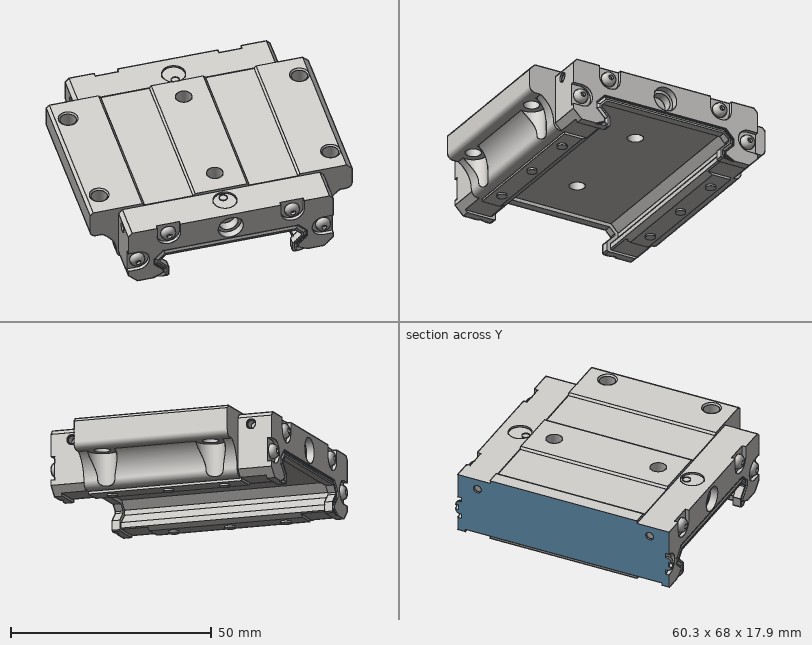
import cadquery as cq
import math


block_length = 41.0
block_end = block_length / 2
flange_width = 68.0
top_height = 17.35
flange_underside = 9.4
flange_round = 1.6
rear_top_chamfer = 1.5
front_top_chamfer = 0.8
wall_half_width = 27.1
wall_tangent_height = 2.6
underside_arc_radius = 8.0
wall_foot_radius = 1.95
strip_half_width = 24.0
foot_height = wall_tangent_height - wall_foot_radius

relief_depth = 0.55
center_pad_half_width = 6.75
relief_outer_edge = 20.45

mount_pitch_x = 29.0
mount_pitch_y = 60.0
mount_hole_diameter = 4.13
mount_countersink_diameter = 4.92
bolt_clearance_diameter = 7.4
bolt_clearance_bottom = 1.0

pin_diameter = 2.6
pin_pitch_x = 15.0
pin_offset_y = 21.45
pin_drop = 0.5

caps_length = 59.0
cap_width = 53.2
cap_top = 16.6
cap_chamfer_width = 1.0
cap_chamfer_height = 1.1
cap_foot_chamfer = 2.4
cap_body_bottom = foot_height
seal_plate_thickness = 2.1
cap_end = caps_length / 2
seal_plate_start = cap_end - seal_plate_thickness

rail_opening_top = 8.6
rail_opening_corners = [
    (17.5, rail_opening_top),
    (19.85, 6.15),
    (19.85, 4.45),
    (17.55, 2.1),
    (17.55, 1.2),
]
opening_foot_slope = 0.5
opening_depth_below = 3.0
groove_width = 0.3
groove_depth = 0.4
flare_width = 0.7
lip_reach = 1.5
clearance_inset = 0.5
groove_floor = cap_end - groove_depth

screw_pocket_diameter = 6.0
screw_pocket_depth = 1.0
screw_head_diameter = 3.8
screw_socket_diameter = 1.24
screw_socket_depth = 0.8
screw_straight_height = 0.5
overall_length = 60.3
upper_screw = (16.05, 13.75)
lower_screw = (24.1, 6.8)

grease_x = 24.0
end_port_height = 12.25
end_port_diameter = 6.5
end_port_depth = 2.0
end_port_inner_diameter = 4.92
end_port_inner_depth = 4.5
side_port_height = 13.75
side_port_diameter = 2.46
side_port_depth = 0.5
side_port_inner_diameter = 2.05
side_port_inner_depth = 3.0
top_port_diameter = 6.0
top_port_depth = 0.5
top_port_inner_diameter = 2.05
top_port_inner_x = 22.4
top_port_inner_depth = 0.7


def section(x):
    """Sketch plane across the travel direction, with Y and Z as its axes."""
    return cq.Workplane("YZ", origin=(x, 0, 0))


def mirrored(points):
    """Closes a half outline given on +Y by adding its mirror image on -Y."""
    return points + [(-y, z) for y, z in reversed(points)]


def x_cylinder(x_start, x_end, y, z, diameter):
    return section(x_start).center(y, z).circle(diameter / 2).extrude(x_end - x_start)


def z_cylinder(x, y, z_start, z_end, diameter):
    base = cq.Workplane("XY", origin=(x, y, z_start))
    return base.circle(diameter / 2).extrude(z_end - z_start)


def rail_opening(x, inset):
    """Rail opening outline at the given X, moved inward by inset."""
    foot_y, foot_z = rail_opening_corners[-1]
    foot_run = (foot_z + opening_depth_below) / opening_foot_slope
    foot_end = (foot_y + foot_run, -opening_depth_below)
    outline = section(x).polyline(mirrored(rail_opening_corners + [foot_end])).close()
    if inset > 0:
        outline = outline.offset2D(-inset, "intersection")
    return outline


def flange_side(side, top_chamfer):
    """Half of the block's solid cross-section, on the +Y or -Y side."""
    edge = flange_width / 2
    arc_center_y = wall_half_width + underside_arc_radius
    rise = flange_underside - wall_tangent_height
    arc_top_y = arc_center_y - math.sqrt(underside_arc_radius**2 - rise**2)
    mid_angle = math.asin(rise / underside_arc_radius) / 2
    arc_mid_y = arc_center_y - underside_arc_radius * math.cos(mid_angle)
    arc_mid_z = wall_tangent_height + underside_arc_radius * math.sin(mid_angle)
    diagonal = math.sqrt(0.5)
    round_gap = flange_round * (1 - diagonal)
    foot_gap = wall_foot_radius * (1 - diagonal)
    foot_y = wall_half_width - wall_foot_radius

    def at(y, z):
        return (side * y, z)

    return (
        section(-block_end)
        .moveTo(0, top_height)
        .lineTo(*at(edge - top_chamfer, top_height))
        .lineTo(*at(edge, top_height - top_chamfer))
        .lineTo(*at(edge, flange_underside + flange_round))
        .threePointArc(
            at(edge - round_gap, flange_underside + round_gap),
            at(edge - flange_round, flange_underside),
        )
        .lineTo(*at(arc_top_y, flange_underside))
        .threePointArc(at(arc_mid_y, arc_mid_z), at(wall_half_width, wall_tangent_height))
        .threePointArc(
            at(wall_half_width - foot_gap, foot_height + foot_gap),
            at(foot_y, foot_height),
        )
        .lineTo(*at(strip_half_width, foot_height))
        .lineTo(*at(strip_half_width, 0))
        .lineTo(0, 0)
        .close()
        .extrude(block_length)
    )


def relief_channel(side):
    """Shallow channel with 45-degree sides between the center pad and an outer pad."""
    floor = top_height - relief_depth
    outline = [
        (side * center_pad_half_width, top_height),
        (side * (center_pad_half_width + relief_depth), floor),
        (side * (relief_outer_edge - relief_depth), floor),
        (side * relief_outer_edge, top_height),
    ]
    return section(-block_end).polyline(outline).close().extrude(block_length)


def mounting_hole(x, y):
    return z_cylinder(x, y, 0, top_height, mount_hole_diameter)


def countersink(x, y):
    depth = (mount_countersink_diameter - mount_hole_diameter) / 2
    plane = cq.Workplane("XY", origin=(x, y, top_height))
    return plane.circle(mount_countersink_diameter / 2).extrude(-depth, taper=45)


def make_block():
    block = flange_side(1, rear_top_chamfer).union(flange_side(-1, front_top_chamfer))
    block = block.cut(rail_opening(-block_end, clearance_inset).extrude(block_length))
    for side in (-1, 1):
        block = block.cut(relief_channel(side))
    for x in (-mount_pitch_x / 2, mount_pitch_x / 2):
        block = block.cut(mounting_hole(x, 0))
        for y in (-mount_pitch_y / 2, mount_pitch_y / 2):
            block = block.cut(mounting_hole(x, y)).cut(countersink(x, y))
            block = block.cut(
                z_cylinder(x, y, bolt_clearance_bottom, flange_underside, bolt_clearance_diameter)
            )
    for x in (-pin_pitch_x, 0, pin_pitch_x):
        for y in (-pin_offset_y, pin_offset_y):
            block = block.union(z_cylinder(x, y, -pin_drop, foot_height, pin_diameter))
    return block


def cap_outline(x):
    half_width = cap_width / 2
    points = [
        (half_width - cap_chamfer_width, cap_top),
        (half_width, cap_top - cap_chamfer_height),
        (half_width, cap_foot_chamfer),
        (half_width - cap_foot_chamfer, 0),
    ]
    return section(x).polyline(mirrored(points)).close()


def cap_body():
    """Inner part of the cap, stopping short of the seal plate's bottom."""
    length = seal_plate_start - block_end
    body = cap_outline(block_end).extrude(length)
    body = body.cut(rail_opening(block_end, clearance_inset).extrude(length))
    underside = cq.Workplane("XY", origin=((block_end + seal_plate_start) / 2, 0, 0))
    return body.cut(underside.rect(length, cap_width).extrude(cap_body_bottom))


def seal_plate():
    """Outer plate whose rail opening carries a lip that flares outward inside a groove."""
    plate = cap_outline(seal_plate_start).extrude(seal_plate_thickness)
    plate = plate.cut(rail_opening(seal_plate_start, lip_reach).extrude(seal_plate_thickness))
    groove = rail_opening(groove_floor, 0).extrude(groove_depth)
    flare_angle = math.degrees(math.atan2(flare_width, groove_depth))
    flare = rail_opening(groove_floor, groove_width).extrude(groove_depth, taper=flare_angle)
    return plate.cut(groove.cut(flare))


def screw_pocket(y, z, open_y, open_z):
    """Round pocket in the end face that runs out through the cap's edge along (open_y, open_z)."""
    floor = cap_end - screw_pocket_depth
    shift = screw_pocket_diameter / 2
    pocket = x_cylinder(floor, cap_end, y, z, screw_pocket_diameter)
    run_out = section(floor).center(y + open_y * shift, z + open_z * shift)
    run_out = run_out.rect(screw_pocket_diameter, screw_pocket_diameter)
    return pocket.union(run_out.extrude(screw_pocket_depth))


def screw_head(y, z):
    """Button head: short cylinder, a dome that flattens toward its crown, and a round socket."""
    floor = cap_end - screw_pocket_depth
    shoulder = floor + screw_straight_height
    crown = overall_length / 2
    head_radius = screw_head_diameter / 2
    socket_radius = screw_socket_diameter / 2
    dome_height = crown - shoulder
    dome_width = head_radius - socket_radius
    dome_radius = (dome_height**2 + dome_width**2) / (2 * dome_height)
    half_sweep = math.asin(dome_width / dome_radius) / 2
    dome_mid_x = crown - dome_radius * (1 - math.cos(half_sweep))
    dome_mid_radius = socket_radius + dome_radius * math.sin(half_sweep)
    socket_floor = crown - screw_socket_depth
    profile = (
        cq.Workplane("XY", origin=(0, y, z))
        .moveTo(floor, 0)
        .lineTo(floor, head_radius)
        .lineTo(shoulder, head_radius)
        .threePointArc((dome_mid_x, dome_mid_radius), (crown, socket_radius))
        .lineTo(socket_floor, socket_radius)
        .lineTo(socket_floor, 0)
        .close()
    )
    return profile.revolve(360, (0, 0, 0), (1, 0, 0))


def end_port():
    outer = x_cylinder(cap_end - end_port_depth, cap_end, 0, end_port_height, end_port_diameter)
    inner_start = cap_end - end_port_inner_depth
    return outer.union(x_cylinder(inner_start, cap_end, 0, end_port_height, end_port_inner_diameter))


def top_port():
    outer = z_cylinder(grease_x, 0, cap_top - top_port_depth, cap_top, top_port_diameter)
    inner_floor = cap_top - top_port_inner_depth
    return outer.union(z_cylinder(top_port_inner_x, 0, inner_floor, cap_top, top_port_inner_diameter))


def side_port(side):
    face = cq.Workplane("XZ", origin=(grease_x, side * cap_width / 2, side_port_height))
    outer = face.circle(side_port_diameter / 2).extrude(side * side_port_depth)
    return outer.union(face.circle(side_port_inner_diameter / 2).extrude(side * side_port_inner_depth))


def make_cap():
    """End cap on the +X end of the block."""
    cap = cap_body().union(seal_plate())
    cap = cap.cut(end_port()).cut(top_port())
    for side in (-1, 1):
        upper = (side * upper_screw[0], upper_screw[1])
        lower = (side * lower_screw[0], lower_screw[1])
        cap = cap.cut(side_port(side))
        cap = cap.cut(screw_pocket(*upper, 0, 1)).cut(screw_pocket(*lower, side, 0))
        cap = cap.union(screw_head(*upper)).union(screw_head(*lower))
    return cap


cap = make_cap()
result = make_block().union(cap).union(cap.mirror("YZ"))